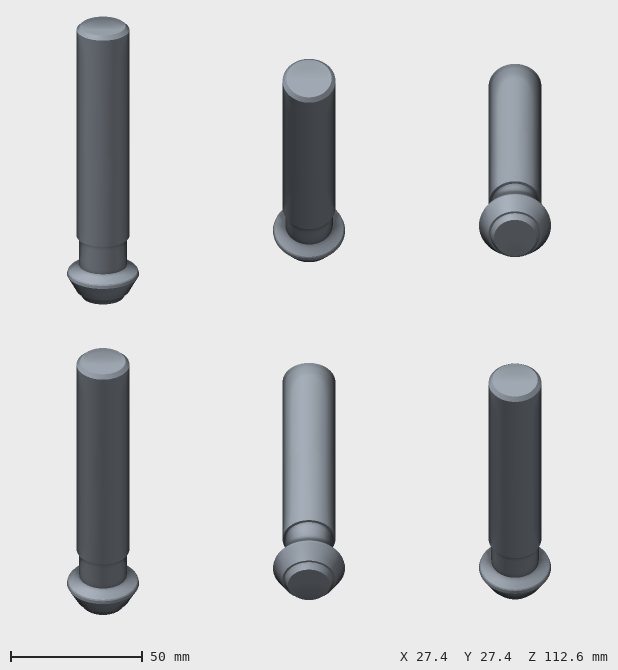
import cadquery as cq

total_height = 112.6
thread_start = 62.6
shoulder_height = 25.0
collar_top = 13.1
tip_height = 2.7

shank_radius = 20.0 / 2
neck_radius = 18.0 / 2
end_chamfer = 1.5

rim_radius = 27.4 / 2
rim_height = 9.1
band_top_radius = 13.4
band_top_height = 10.2
cone_edge_radius = 13.1
cone_edge_height = 10.7
collar_base_radius = 10.1

tip_top_radius = 9.3
tip_base_radius = 8.0


def turned_body(profile):
    """Revolve a (radius, height) outline about Z, keeping collinear stretches as separate faces."""
    outline = cq.Workplane("XZ").polyline(profile).close()
    return outline.revolve(360, (0, 0, 0), (0, 1, 0), clean=False)


stud = turned_body([
    (0, tip_height),
    (neck_radius, tip_height),
    (neck_radius, shoulder_height),
    (shank_radius, shoulder_height),
    (shank_radius, thread_start),
    (shank_radius, total_height - end_chamfer),
    (shank_radius - end_chamfer, total_height),
    (0, total_height),
])

collar = turned_body([
    (neck_radius, tip_height),
    (collar_base_radius, tip_height),
    (rim_radius, rim_height),
    (band_top_radius, band_top_height),
    (cone_edge_radius, cone_edge_height),
    (neck_radius, collar_top),
])

tip = turned_body([
    (0, 0),
    (tip_base_radius, 0),
    (tip_top_radius, tip_height),
    (0, tip_height),
])

result = cq.Compound.makeCompound([stud.val(), collar.val(), tip.val()])